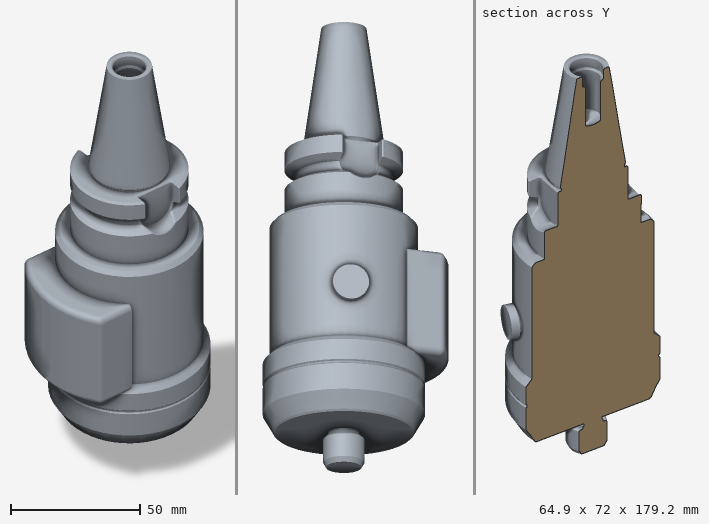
import cadquery as cq
import math

taper_length = 48.4
gauge_radius = 15.875
taper_ratio = 7 / 24
taper_tip_radius = gauge_radius - taper_length * taper_ratio / 2
gauge_band_height = 0.5
relief_radius = 15.4
relief_height = 1.0

flange_radius = 23.0
flange_edge_width = 1.3
flange_edge_height = 0.4
flange_top = -2.0
flange_bottom = -9.5
v_floor_radius = 19.0
v_floor_top = -11.8
v_floor_bottom = -15.4
v_floor_fillet = 0.5
v_bottom = -17.7

housing_radius = 28.8
housing_top = -31.4
housing_chamfer = 1.7

collar_radius = 31.5
collar_shoulder = -86.1
collar_top = collar_shoulder - (collar_radius - housing_radius)
groove_top = -97.0
groove_width = 1.7
groove_depth = 0.5
nose_cone_top = -109.2
nose_bottom = -116.75
nose_edge = 0.7
nose_cone_angle = 30.0
nose_cone_bottom = nose_bottom + nose_edge
nose_cone_radius = collar_radius - (nose_cone_top - nose_cone_bottom) * math.tan(
    math.radians(nose_cone_angle)
)

overall_length = 179.15
stub_bottom = taper_length - overall_length
neck_root_radius = 6.2
neck_root_bottom = -117.7
neck_radius = 6.5
head_radius = 8.0
head_top = -118.9
head_top_chamfer = 0.6
head_bottom_chamfer_height = 2.0
head_end_radius = 6.9

bore_radius = 5.6
mouth_radius = 6.5
mouth_chamfer = 0.5
mouth_depth = 4.8
mouth_cone_height = 0.7
bore_depth = 24.0
drill_point_angle = 118.0

slot_width = 16.1
slot_floor = 16.3
slot_end = -19.4
slot_edge_break = 0.5
slot_floor_fillet = 0.6

overall_y = 72.0
pad_reach = overall_y - collar_radius
pad_width = 49.2
pad_top = -46.45
pad_height = 42.15
pad_flat_width = 5.4
pad_fillet = 2.5
pad_back = -17.35

button_radius = 7.0
button_neck_radius = 6.0
button_thickness = 3.4
button_angle = 15.0
button_face = 32.68
button_z = -65.7

selection_margin = 0.1


def make_body():
    """Turned body: shank, flange, housing, collar, nose and spindle stub."""
    outline = [
        (0, taper_length),
        (taper_tip_radius, taper_length),
        (gauge_radius, 0),
        (gauge_radius, -gauge_band_height),
        (relief_radius, -relief_height),
        (relief_radius, flange_top),
        (flange_radius - flange_edge_width, flange_top),
        (flange_radius, flange_top - flange_edge_height),
        (flange_radius, flange_bottom),
        (v_floor_radius, v_floor_top),
        (v_floor_radius, v_floor_bottom),
        (flange_radius, v_bottom),
        (flange_radius, housing_top),
        (housing_radius - housing_chamfer, housing_top),
        (housing_radius, housing_top - housing_chamfer),
        (housing_radius, collar_shoulder),
        (collar_radius, collar_top),
        (collar_radius, groove_top),
        (collar_radius - groove_depth, groove_top - groove_depth),
        (collar_radius - groove_depth, groove_top - groove_width + groove_depth),
        (collar_radius, groove_top - groove_width),
        (collar_radius, nose_cone_top),
        (nose_cone_radius, nose_cone_bottom),
        (nose_cone_radius - nose_edge, nose_bottom),
        (neck_root_radius, nose_bottom),
        (neck_root_radius, neck_root_bottom),
        (neck_radius, neck_root_bottom),
        (neck_radius, head_top),
        (head_radius - head_top_chamfer, head_top),
        (head_radius, head_top - head_top_chamfer),
        (head_radius, stub_bottom + head_bottom_chamfer_height),
        (head_end_radius, stub_bottom),
        (0, stub_bottom),
    ]
    return cq.Workplane("XZ").polyline(outline).close().revolve(360, (0, 0), (0, 1))


def make_bore():
    """Stepped blind bore in the small end of the taper, with a drill point."""
    floor = taper_length - bore_depth
    point_height = bore_radius / math.tan(math.radians(drill_point_angle / 2))
    outline = [
        (0, taper_length),
        (mouth_radius + mouth_chamfer, taper_length),
        (mouth_radius, taper_length - mouth_chamfer),
        (mouth_radius, taper_length - mouth_depth),
        (bore_radius, taper_length - mouth_depth - mouth_cone_height),
        (bore_radius, floor),
        (0, floor - point_height),
    ]
    return cq.Workplane("XZ").polyline(outline).close().revolve(360, (0, 0), (0, 1))


def make_slot():
    """Drive slot on the +X side: open at the top, round at the bottom."""
    half = slot_width / 2
    round_center = slot_end + half
    return (
        cq.Workplane("YZ", origin=(slot_floor, 0, 0))
        .moveTo(-half, 0)
        .lineTo(-half, round_center)
        .threePointArc((0, slot_end), (half, round_center))
        .lineTo(half, 0)
        .close()
        .extrude(flange_radius)
        .faces("<X")
        .edges("not >Z")
        .fillet(slot_floor_fillet)
    )


def cut_slots(body):
    """Cut both drive slots and break their edges on the flange and at their round ends."""
    slot = make_slot()
    body = body.cut(slot).cut(slot.rotate((0, 0, 0), (0, 0, 1), 180))
    wall_start = slot_floor + slot_floor_fillet + selection_margin
    wall_end = flange_radius + selection_margin
    half = slot_width / 2 + selection_margin
    mouth_range = (flange_bottom, flange_top + selection_margin)
    end_range = (slot_end - selection_margin, v_floor_bottom)
    for low, high in (mouth_range, end_range):
        right_side = cq.selectors.BoxSelector((wall_start, -half, low), (wall_end, half, high))
        left_side = cq.selectors.BoxSelector((-wall_end, -half, low), (-wall_start, half, high))
        body = body.edges(right_side + left_side).chamfer(slot_edge_break)
    return body


def round_v_floor(body):
    """Blend the lower side of the V groove into its floor."""
    floor_edge = cq.selectors.BoxSelector(
        (-flange_radius, -flange_radius, v_floor_bottom - selection_margin),
        (flange_radius, flange_radius, v_floor_bottom + selection_margin),
    )
    return body.edges(floor_edge).fillet(v_floor_fillet)


def make_pad():
    """Raised pad on the -Y side with a curved front and a narrow flat down its middle."""
    half = pad_width / 2
    half_flat = pad_flat_width / 2
    arc_radius = math.hypot(pad_reach, half_flat)
    corner_y = -math.sqrt(arc_radius**2 - half**2)
    pad = (
        cq.Workplane("XY", origin=(0, 0, pad_top - pad_height))
        .moveTo(-half, pad_back)
        .lineTo(-half, corner_y)
        .threePointArc((0, -arc_radius), (half, corner_y))
        .lineTo(half, pad_back)
        .close()
        .extrude(pad_height)
    )
    corners = cq.selectors.BoxSelector(
        (-half - selection_margin, corner_y - selection_margin, pad_top - pad_height),
        (half + selection_margin, corner_y + selection_margin, pad_top),
    )
    pad = pad.edges("|Z").edges(corners).fillet(pad_fillet)
    pad = pad.faces("<Z or >Z").edges("not >Y").fillet(pad_fillet)
    in_front_of_flat = (
        cq.Workplane("XZ", origin=(0, -pad_reach, 0))
        .rect(pad_width, 2 * overall_length)
        .extrude(arc_radius)
    )
    return pad.cut(in_front_of_flat)


def make_button():
    """Round button on a slightly thinner neck."""
    plane = cq.Plane(
        origin=(0, 0, button_z),
        normal=(-math.cos(math.radians(button_angle)), math.sin(math.radians(button_angle)), 0),
        xDir=(0, 0, 1),
    )
    neck = cq.Workplane(plane).circle(button_neck_radius).extrude(button_face)
    disc = (
        cq.Workplane(plane)
        .workplane(offset=button_face - button_thickness)
        .circle(button_radius)
        .extrude(button_thickness)
    )
    return neck.union(disc)


body = round_v_floor(cut_slots(make_body()))
result = body.union(make_pad()).union(make_button()).cut(make_bore())